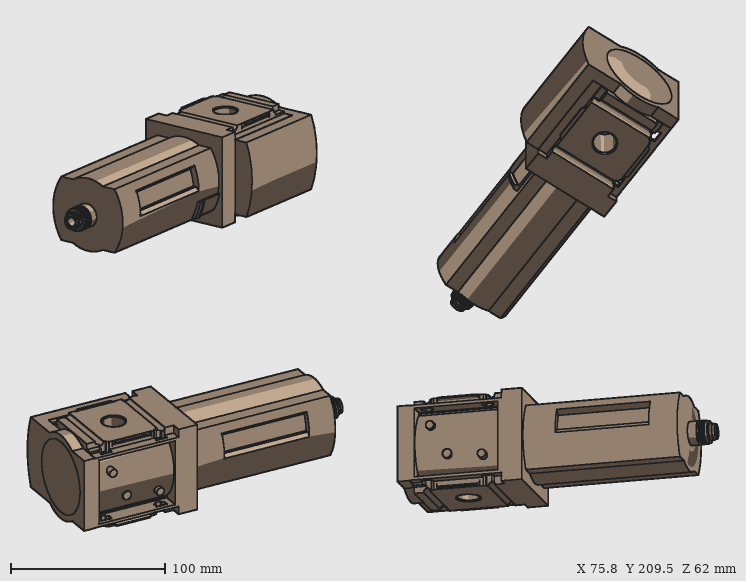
import cadquery as cq
import math


head_half = 31.0
cap_back_y = 84.0
cap_front_y = 75.8
collar_y = 13.8
cap_half_z = 25.5
rail_half_z = 25.3
slab_edge_x = 40.2
slab_crown_x = 44.8
bulge_half_width = 14.9
bulge_crown_z = 30.4

port_y = 44.8
block_half_x = 24.3
groove_offset = 22.2
groove_radius = 2.5
corner_floor_z = 26.8
corner_inner_x = 19.9
port_diameter = 14.9
port_mouth_diameter = 16.5
port_mouth_depth = 0.8
port_depth = 25.1

lip_reach = 2.5
lip_half_length = 14.7
lip_half_length_tip = 12.1
lip_top_z = 30.5
lip_root_z = 27.0
lip_edge_thickness = 0.8

dome_base_radius = 25.5
dome_flat_radius = 16.0
dome_mid_radius = 21.4
dome_mid_height = 1.9
dome_height = 3.0

pocket_front_y = 16.3
pocket_back_y = 72.6
pocket_half_z = 23.2
pocket_curve_radius = 29.3
pocket_curve_half_z = 21.0
pocket_groove_half_z = 22.5
pocket_groove_depth = 0.8
pocket_floor_x = -math.sqrt(pocket_curve_radius**2 - pocket_curve_half_z**2)

pins = [
    (62.2, 11.0, 5.5, -head_half),
    (27.2, -11.0, 5.5, -head_half),
    (51.0, -8.5, 6.0, -pocket_curve_radius),
]

clip_offset = 20.5
clip_length = 7.5
clip_neck_length = 4.0
clip_outer_x = -27.6
clip_inner_x = -23.7
clip_neck_x = -22.0

bowl_end_y = -104.0
bowl_radius = 25.0
bowl_flat_z = 21.8
bowl_corner_x = 21.5
bowl_side_x = 28.3
cone_radius = 21.5
cone_tip_radius = 11.7
cone_height = 1.0

window_top_y = -21.8
window_bottom_y = -84.8
window_low_z = -0.5
window_low_floor_z = 2.0
window_high_floor_z = 13.2
window_high_z = 16.3
window_depth = 4.5
window_bevel = 2.3
window_clearance = 2.0

latch_high_z = -8.0
latch_low_z = -19.9
latch_plate_thickness = 1.3
latch_knob_thickness = 3.3
latch_plate_end_y = -17.8
latch_knob_end_y = -21.8
latch_knob_chamfer = 1.3

drain_end_y = -122.5
drain_steps = [
    (15.7, -111.0), (11.7, -112.6), (15.7, -113.5), (11.7, -114.5), (15.7, -115.0),
    (14.9, -115.5), (15.7, -116.2), (14.9, -118.0), (11.5, -118.7), (11.0, -120.5),
    (10.0, drain_end_y),
]
drain_bore_diameter = 6.0
drain_bore_depth = 8.4
drain_mouth_chamfer = 0.6


def box(x_range, y_range, z_range):
    """A box between the given limits along each axis."""
    corner = (x_range[0], y_range[0], z_range[0])
    size = (x_range[1] - x_range[0], y_range[1] - y_range[0], z_range[1] - z_range[0])
    return cq.Workplane("XY").box(*size, centered=False).translate(corner)


def section_at(y):
    """A sketch plane across the Y axis; extruding from it goes toward -Y."""
    return cq.Workplane("XZ", origin=(0, y, 0))


def circle_radius(half_chord, rise):
    return (half_chord**2 + rise**2) / (2 * rise)


def side_slab():
    return (
        section_at(cap_back_y)
        .moveTo(head_half, -cap_half_z)
        .lineTo(slab_edge_x, -cap_half_z)
        .threePointArc((slab_crown_x, 0), (slab_edge_x, cap_half_z))
        .lineTo(head_half, cap_half_z)
        .close()
        .extrude(cap_back_y - collar_y)
    )


def cap():
    plate = box((-head_half, head_half), (cap_front_y, cap_back_y), (-cap_half_z, cap_half_z))
    bulge = (
        section_at(cap_back_y)
        .moveTo(-bulge_half_width, -cap_half_z)
        .threePointArc((0, -bulge_crown_z), (bulge_half_width, -cap_half_z))
        .lineTo(bulge_half_width, cap_half_z)
        .threePointArc((0, bulge_crown_z), (-bulge_half_width, cap_half_z))
        .close()
        .extrude(cap_back_y - cap_front_y)
    )
    dome = (
        cq.Workplane("XY")
        .moveTo(0, cap_back_y)
        .lineTo(dome_base_radius, cap_back_y)
        .threePointArc(
            (dome_mid_radius, cap_back_y + dome_mid_height),
            (dome_flat_radius, cap_back_y + dome_height),
        )
        .lineTo(0, cap_back_y + dome_height)
        .close()
        .revolve(360, (0, 0, 0), (0, 1, 0))
    )
    return plate.union(bulge).union(dome)


def lip(side):
    """Tapered lip on one side of the upper port block, hollowed underneath."""
    root = side * block_half_x
    tip = side * (block_half_x + lip_reach)
    plan = (
        cq.Workplane("XY", origin=(0, port_y, lip_root_z))
        .moveTo(0, -lip_half_length)
        .lineTo(root, -lip_half_length)
        .lineTo(tip, -lip_half_length_tip)
        .lineTo(tip, lip_half_length_tip)
        .lineTo(root, lip_half_length)
        .lineTo(0, lip_half_length)
        .close()
        .extrude(lip_top_z - lip_root_z)
    )
    edge_z = lip_top_z - lip_edge_thickness
    mid_x = root + side * lip_reach * (1 - math.sqrt(0.5))
    mid_z = lip_root_z + (edge_z - lip_root_z) * math.sqrt(0.5)
    hollow = (
        section_at(port_y + lip_half_length)
        .moveTo(0, lip_root_z)
        .lineTo(root, lip_root_z)
        .threePointArc((mid_x, mid_z), (tip, edge_z))
        .lineTo(tip, lip_top_z)
        .lineTo(0, lip_top_z)
        .close()
        .extrude(2 * lip_half_length)
    )
    return plan.intersect(hollow)


def port_block():
    """Upper port block with its grooves, lowered corners and lips."""
    block = box((-block_half_x, block_half_x), (collar_y, cap_front_y), (0, head_half))
    for side in (-1, 1):
        x_limits = sorted((side * corner_inner_x, side * block_half_x))
        corner = box(x_limits, (port_y + groove_offset, cap_front_y), (corner_floor_z, head_half))
        block = block.cut(corner)
        groove = (
            cq.Workplane("YZ", origin=(-block_half_x, port_y + side * groove_offset, head_half))
            .circle(groove_radius)
            .extrude(2 * block_half_x)
        )
        block = block.cut(groove).union(lip(side))
    return block


def upper_port():
    """Space of the upper port: a blind hole with a chamfered mouth."""
    mouth_radius = port_mouth_diameter / 2
    bottom_z = head_half - port_depth
    return (
        cq.Workplane("XZ")
        .polyline([
            (0, bottom_z),
            (port_diameter / 2, bottom_z),
            (port_diameter / 2, head_half - port_mouth_depth),
            (mouth_radius, head_half),
            (0, head_half),
        ])
        .close()
        .revolve(360, (0, 0, 0), (0, 1, 0))
        .translate((0, port_y, 0))
    )


def side_pocket():
    """Space of the side pocket: a convex floor between two narrow flats and grooves."""
    groove_floor_x = pocket_floor_x + pocket_groove_depth
    return (
        section_at(pocket_back_y)
        .moveTo(-head_half, -pocket_half_z)
        .lineTo(groove_floor_x, -pocket_half_z)
        .lineTo(groove_floor_x, -pocket_groove_half_z)
        .lineTo(pocket_floor_x, -pocket_groove_half_z)
        .lineTo(pocket_floor_x, -pocket_curve_half_z)
        .threePointArc((-pocket_curve_radius, 0), (pocket_floor_x, pocket_curve_half_z))
        .lineTo(pocket_floor_x, pocket_groove_half_z)
        .lineTo(groove_floor_x, pocket_groove_half_z)
        .lineTo(groove_floor_x, pocket_half_z)
        .lineTo(-head_half, pocket_half_z)
        .close()
        .extrude(pocket_back_y - pocket_front_y)
    )


def pocket_pin(y, z, diameter, end_x):
    """A pin along X, rooted below the pocket floor."""
    return (
        cq.Workplane("YZ", origin=(end_x, y, z))
        .circle(diameter / 2)
        .extrude(pocket_floor_x - end_x)
    )


def clip_slot(y):
    """T-shaped slot through the upper rail and into the side of the port block."""
    z_limits = (pocket_curve_half_z, head_half)
    wide = box(
        (clip_outer_x, clip_inner_x), (y - clip_length / 2, y + clip_length / 2), z_limits
    )
    neck = box(
        (clip_inner_x, clip_neck_x), (y - clip_neck_length / 2, y + clip_neck_length / 2), z_limits
    )
    return wide.union(neck)


def make_head():
    collar = box((-head_half, head_half), (0, collar_y), (-head_half, head_half))
    core = box((-head_half, head_half), (collar_y, cap_front_y), (-rail_half_z, rail_half_z))
    head = collar.union(core).union(cap()).union(side_slab())
    block = port_block()
    head = head.union(block).union(block.mirror("XY"))
    port = upper_port()
    head = head.cut(port).cut(port.mirror("XY")).cut(side_pocket())
    for y in (port_y - clip_offset, port_y + clip_offset):
        slot = clip_slot(y)
        head = head.cut(slot).cut(slot.mirror("XY"))
    for pin in pins:
        head = head.union(pocket_pin(*pin))
    return head


side_radius = circle_radius(bowl_flat_z, bowl_side_x - bowl_corner_x)
side_center_x = bowl_side_x - side_radius


def side_x(z, offset=0.0):
    """X of the bulged right side at height z, moved outward by the offset."""
    return side_center_x + math.sqrt((side_radius + offset) ** 2 - z**2)


def bowl_shell():
    swell_x = math.sqrt(bowl_radius**2 - bowl_flat_z**2)
    return (
        section_at(0)
        .moveTo(-bowl_corner_x, bowl_flat_z)
        .lineTo(-swell_x, bowl_flat_z)
        .threePointArc((0, bowl_radius), (swell_x, bowl_flat_z))
        .lineTo(bowl_corner_x, bowl_flat_z)
        .threePointArc((bowl_side_x, 0), (bowl_corner_x, -bowl_flat_z))
        .lineTo(swell_x, -bowl_flat_z)
        .threePointArc((0, -bowl_radius), (-swell_x, -bowl_flat_z))
        .lineTo(-bowl_corner_x, -bowl_flat_z)
        .threePointArc((-bowl_side_x, 0), (-bowl_corner_x, bowl_flat_z))
        .close()
        .extrude(-bowl_end_y)
    )


def window():
    """Space of the right window: bevelled sill, floor parallel to the side, sloped head."""
    middle_z = (window_low_floor_z + window_high_floor_z) / 2
    outside_x = bowl_side_x + window_clearance
    return (
        section_at(window_top_y)
        .moveTo(outside_x, window_low_z)
        .lineTo(side_x(window_low_z), window_low_z)
        .lineTo(side_x(window_low_z) - window_bevel, window_low_floor_z)
        .lineTo(side_x(window_low_floor_z, -window_depth), window_low_floor_z)
        .threePointArc(
            (side_x(middle_z, -window_depth), middle_z),
            (side_x(window_high_floor_z, -window_depth), window_high_floor_z),
        )
        .lineTo(side_x(window_high_z), window_high_z)
        .lineTo(outside_x, window_high_z)
        .close()
        .extrude(window_top_y - window_bottom_y)
    )


def latch_part(thickness, start_y, end_y):
    """A strip lying on the lower right side of the bowl."""
    middle_z = (latch_high_z + latch_low_z) / 2
    return (
        section_at(start_y)
        .moveTo(0, latch_high_z)
        .lineTo(side_x(latch_high_z, thickness), latch_high_z)
        .threePointArc(
            (side_x(middle_z, thickness), middle_z),
            (side_x(latch_low_z, thickness), latch_low_z),
        )
        .lineTo(0, latch_low_z)
        .close()
        .extrude(start_y - end_y)
    )


def bottom_cone():
    return (
        cq.Workplane("XY")
        .polyline([
            (0, bowl_end_y),
            (cone_radius, bowl_end_y),
            (cone_tip_radius, bowl_end_y - cone_height),
            (0, bowl_end_y - cone_height),
        ])
        .close()
        .revolve(360, (0, 0, 0), (0, 1, 0))
    )


def drain():
    """Stepped and ringed drain with a chamfered bore in its lower end."""
    start_y = bowl_end_y - cone_height
    outline = [(0, start_y)]
    step_top = start_y
    for diameter, step_bottom in drain_steps:
        outline += [(diameter / 2, step_top), (diameter / 2, step_bottom)]
        step_top = step_bottom
    bore_radius = drain_bore_diameter / 2
    outline += [
        (bore_radius + drain_mouth_chamfer, drain_end_y),
        (bore_radius, drain_end_y + drain_mouth_chamfer),
        (bore_radius, drain_end_y + drain_bore_depth),
        (0, drain_end_y + drain_bore_depth),
    ]
    return cq.Workplane("XY").polyline(outline).close().revolve(360, (0, 0, 0), (0, 1, 0))


def make_bowl():
    right_window = window()
    plate = latch_part(latch_plate_thickness, 0, latch_knob_end_y)
    knob = latch_part(latch_knob_thickness, latch_plate_end_y, latch_knob_end_y)
    knob = knob.edges("%CIRCLE").chamfer(latch_knob_chamfer)
    return (
        bowl_shell()
        .union(plate)
        .union(knob)
        .cut(right_window)
        .cut(right_window.mirror("YZ"))
        .union(bottom_cone())
        .union(drain())
    )


head = make_head()
bowl = make_bowl()

result = cq.Compound.makeCompound([head.val(), bowl.val()])